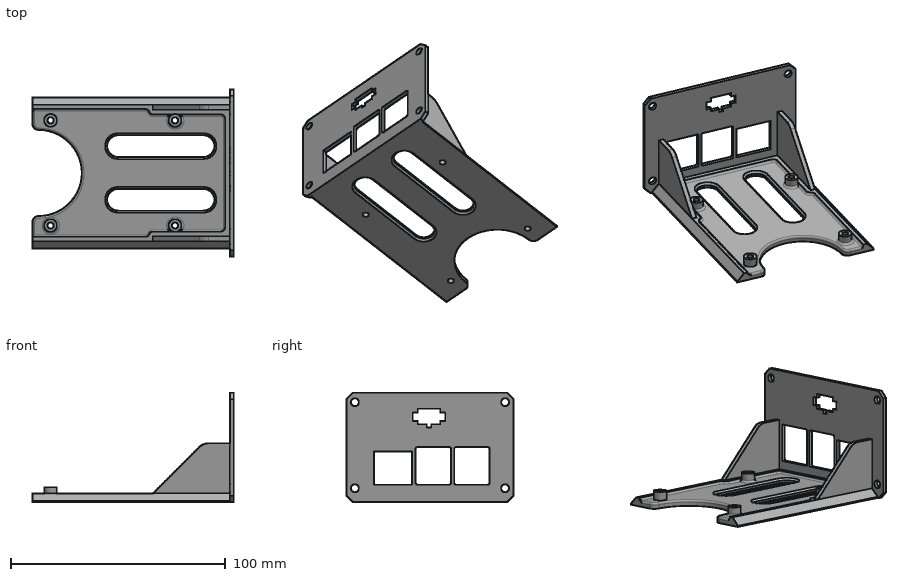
import cadquery as cq
import math

overall_length = 93.9
panel_width = 78.0
panel_height = 51.0
panel_thickness = 1.9
panel_corner = 3.0
panel_front_x = overall_length - panel_thickness

level_tolerance = 0.1

tray_width = 70.5
tray_height = 4.1
tray_bevel = 3.5
tray_top_half = tray_width / 2 - tray_bevel

floor_height = 3.0
recess_front_half = 29.8
recess_rear_half = 27.3
recess_step_x = 52.6
recess_end_x = 89.8
recess_step_radius = 2.0
recess_corner_radius = 2.0
recess_fillet = 0.9

notch_radius = 20.0
notch_corner = 3.0
notch_edge_fillet = 1.0
notch_reach = notch_corner + notch_radius + notch_edge_fillet

slot_width = 10.0
slot_start_x = 34.9
slot_end_x = 84.8
slot_offset_y = 12.5
slot_chamfer = 1.0
chamfer_angle = 45.0

standoff_front_x = 8.5
standoff_spacing_x = 58.0
standoff_spacing_y = 49.0
standoff_rear_x = standoff_front_x + standoff_spacing_x
standoff_offset_y = standoff_spacing_y / 2
standoff_diameter = 6.0
standoff_bore = 2.8
standoff_top = 7.0
standoff_flare = 1.0
standoff_root_depth = 0.5

rib_thickness = 2.3
rib_start_x = 56.2
rib_top = 27.5
rib_corner_radius = 6.0

screw_diameter = 3.6
screw_spacing_y = 70.0
screw_low_z = 6.5
screw_high_z = 46.6

window_bottom = 8.2
window_corner = 0.8
tall_window_width = 16.4
tall_window_top = 25.6
tall_window_centers_y = (19.5, 1.55)
low_window_width = 17.6
low_window_top = 23.5
low_window_center_y = -17.2

connector_center_y = -0.45
connector_body_width = 10.4
connector_body_bottom = 36.4
connector_body_top = 43.5
connector_wing_width = 15.1
connector_wing_bottom = 37.9
connector_wing_top = 41.7
connector_key_width = 1.9
connector_key_bottom = 34.9


def recess_outline():
    """Recess plan: wide at the open front, stepping in through an S-bend towards the panel."""
    half_step = (recess_front_half - recess_rear_half) / 2
    bend_angle = math.acos(1 - half_step / recess_step_radius)
    half_run = recess_step_radius * math.sin(bend_angle)
    middle = (recess_step_x + half_run, recess_front_half - half_step)
    step_end = (recess_step_x + 2 * half_run, recess_rear_half)
    half_plan = (
        cq.Workplane("XY")
        .moveTo(0, 0)
        .lineTo(0, recess_front_half)
        .lineTo(recess_step_x, recess_front_half)
        .tangentArcPoint(middle, relative=False)
        .tangentArcPoint(step_end, relative=False)
        .lineTo(recess_end_x - recess_corner_radius, recess_rear_half)
        .radiusArc((recess_end_x, recess_rear_half - recess_corner_radius), recess_corner_radius)
        .lineTo(recess_end_x, 0)
        .close()
        .extrude(tray_height)
    )
    return half_plan.union(half_plan.mirror("XZ")).clean()


def notch():
    """Half-round opening whose mouth flares out with rounded corners onto the front face."""
    mouth_half = notch_radius + notch_corner
    diagonal = notch_corner * (1 - math.sqrt(0.5))
    return (
        cq.Workplane("XY")
        .moveTo(0, -mouth_half)
        .threePointArc((diagonal, -notch_radius - diagonal), (notch_corner, -notch_radius))
        .threePointArc((notch_corner + notch_radius, 0), (notch_corner, notch_radius))
        .threePointArc((diagonal, notch_radius + diagonal), (0, mouth_half))
        .close()
        .extrude(tray_height)
    )


def floor_level_edges(body, start_x, end_x):
    """Edges at the height of the recess floor whose centres lie between two X positions."""
    return body.edges(
        cq.selectors.BoxSelector(
            (start_x, -tray_width, floor_height - level_tolerance),
            (end_x, tray_width, floor_height + level_tolerance),
        )
    )


def floor_slab():
    """Floor of the recess, rounded along the front edge and around the notch."""
    slab = cq.Workplane("XY").box(
        panel_front_x, 2 * tray_top_half, floor_height, centered=(False, True, False)
    )
    slab = slab.cut(notch())
    return floor_level_edges(slab, -level_tolerance, notch_reach).fillet(notch_edge_fillet)


def rim():
    """Bevelled tray body with the recess area removed."""
    half = tray_width / 2
    section = [
        (-half, 0),
        (half, 0),
        (half, tray_height - tray_bevel),
        (tray_top_half, tray_height),
        (-tray_top_half, tray_height),
        (-half, tray_height - tray_bevel),
    ]
    body = cq.Workplane("YZ").polyline(section).close().extrude(panel_front_x)
    return body.cut(recess_outline())


def slot_cutter(center_y):
    """Through slot with chamfered upper and lower edges."""
    origin = ((slot_start_x + slot_end_x) / 2, center_y)
    length = slot_end_x - slot_start_x
    cutter = cq.Workplane("XY", origin=origin).slot2D(length, slot_width).extrude(floor_height)
    for face_z, inward in ((0, slot_chamfer), (floor_height, -slot_chamfer)):
        opening = (
            cq.Workplane("XY", origin=(*origin, face_z))
            .slot2D(length + 2 * slot_chamfer, slot_width + 2 * slot_chamfer)
            .extrude(inward, taper=chamfer_angle)
        )
        cutter = cutter.union(opening)
    return cutter


def tray():
    """Floor and rim, blended along the foot of the recess wall and slotted."""
    body = floor_slab().union(rim())
    body = floor_level_edges(body, notch_reach, panel_front_x).fillet(recess_fillet)
    for side in (-1, 1):
        body = body.cut(slot_cutter(side * slot_offset_y))
    return body


def standoff(x, y, flared):
    """Round post rooted in the floor, with a concave flare at its foot if flared."""
    radius = standoff_diameter / 2
    root_z = floor_height - standoff_root_depth
    profile = cq.Workplane("XZ", origin=(x, y, 0))
    if flared:
        bend = standoff_flare * (1 - math.sqrt(0.5))
        foot = radius + standoff_flare
        profile = (
            profile.moveTo(0, root_z)
            .lineTo(foot, root_z)
            .lineTo(foot, floor_height)
            .threePointArc(
                (radius + bend, floor_height + bend), (radius, floor_height + standoff_flare)
            )
        )
    else:
        profile = profile.moveTo(0, root_z).lineTo(radius, root_z)
    profile = profile.lineTo(radius, standoff_top).lineTo(0, standoff_top).close()
    return profile.revolve(360, (0, 0, 0), (0, 1, 0))


def rib(side):
    """Gusset with a 45 degree front slope, flush with the outer edge of the tray top."""
    slope_run = rib_top - tray_height
    plate = (
        cq.Workplane("XZ")
        .polyline([
            (rib_start_x, tray_height),
            (rib_start_x + slope_run, rib_top),
            (panel_front_x, rib_top),
            (panel_front_x, tray_height),
        ])
        .close()
        .extrude(rib_thickness / 2, both=True)
    )
    bend = cq.selectors.NearestToPointSelector((rib_start_x + slope_run, 0, rib_top))
    plate = plate.edges("|Y").edges(bend).fillet(rib_corner_radius)
    return plate.translate((0, side * (tray_top_half - rib_thickness / 2), 0))


def panel_block(center_y, width, bottom, top):
    """Rectangular block as thick as the panel and lying in its plane."""
    block = cq.Workplane("XY").box(panel_thickness, width, top - bottom, centered=(False, True, False))
    return block.translate((panel_front_x, center_y, bottom))


def panel():
    """End panel with clipped corners, three windows, a connector cutout and four screw holes."""
    plate = panel_block(0, panel_width, 0, panel_height).edges("|X").chamfer(panel_corner)
    for center_y in tall_window_centers_y:
        window = panel_block(center_y, tall_window_width, window_bottom, tall_window_top)
        plate = plate.cut(window.edges("|X").fillet(window_corner))
    plate = plate.cut(panel_block(low_window_center_y, low_window_width, window_bottom, low_window_top))
    for width, bottom, top in (
        (connector_body_width, connector_body_bottom, connector_body_top),
        (connector_wing_width, connector_wing_bottom, connector_wing_top),
        (connector_key_width, connector_key_bottom, connector_body_top),
    ):
        plate = plate.cut(panel_block(connector_center_y, width, bottom, top))
    screw_points = [
        (side * screw_spacing_y / 2, z) for side in (-1, 1) for z in (screw_low_z, screw_high_z)
    ]
    screws = (
        cq.Workplane("YZ", origin=(panel_front_x, 0, 0))
        .pushPoints(screw_points)
        .circle(screw_diameter / 2)
        .extrude(panel_thickness)
    )
    return plate.cut(screws)


result = tray().union(panel())
for side in (-1, 1):
    result = result.union(rib(side))

standoff_points = [
    (x, side * standoff_offset_y) for x in (standoff_front_x, standoff_rear_x) for side in (-1, 1)
]
plain_standoff = (standoff_front_x, standoff_offset_y)
for x, y in standoff_points:
    result = result.union(standoff(x, y, (x, y) != plain_standoff))
bores = cq.Workplane("XY").pushPoints(standoff_points).circle(standoff_bore / 2).extrude(standoff_top)
result = result.cut(bores)